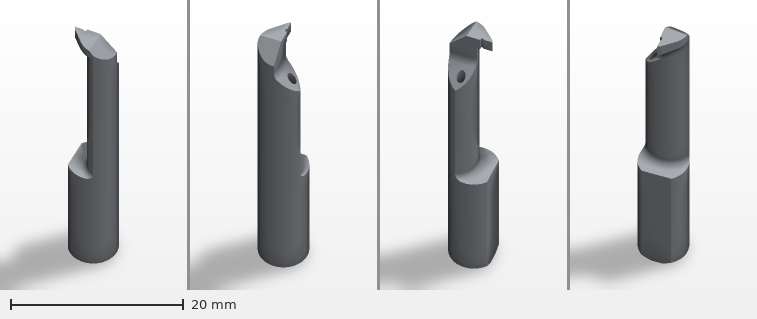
import cadquery as cq
import math

length = 37.0
shank_radius = 3.0
flat_x = -2.35
end_chamfer = 0.55
shoulder_z = 15.0

neck_left_x = -0.45
neck_radius = 3.0
neck_x = neck_left_x + neck_radius
shoulder_fillet = 0.75

head_height = 1.55
tip_x = -2.3
rake_y = 0.1
tip_rake_y = -0.07
tip_rake_end_x = -0.8
chip_groove_width = 0.37
chip_groove_y = -0.2
tip_land_x = -2.15
tip_land_y = -0.4
flank_end_x = -0.7
flank_end_y = tip_land_y - (flank_end_x - tip_land_x)
heel_x = 1.25
heel_y = -2.7
top_relief_angle = 5.0
bottom_relief_angle = 3.0
back_chamfer = 2.1
back_relief_angle = 8.0

gullet_corner_z = 32.93
gullet_runout_angle = 42.5
gullet_radius = 1.48

coolant_x = 1.0
coolant_y = 1.5
coolant_diameter = 1.05

reach = 11.1


def make_shank():
    bar = cq.Workplane("XY").circle(shank_radius).extrude(length)
    bar = bar.faces("<Z").chamfer(end_chamfer)
    flat = cq.Workplane("XY").box(reach, reach, length, centered=(False, True, False))
    return bar.intersect(flat.translate((flat_x, 0, 0)))


def make_neck_envelope():
    """Base block plus a neck cylinder that flares concavely into the shoulder."""
    base = cq.Workplane("XY").box(reach, reach, shoulder_z, centered=(True, True, False))
    flare_mid = shoulder_fillet * (1 - math.sqrt(0.5))
    flared_radius = neck_radius + shoulder_fillet
    neck = (
        cq.Workplane("XZ")
        .moveTo(0, shoulder_z)
        .lineTo(flared_radius, shoulder_z)
        .threePointArc(
            (neck_radius + flare_mid, shoulder_z + flare_mid),
            (neck_radius, shoulder_z + shoulder_fillet),
        )
        .lineTo(neck_radius, length)
        .lineTo(0, length)
        .close()
        .revolve(360, (0, 0), (0, 1))
        .translate((neck_x, 0, 0))
    )
    return base.union(neck)


def make_head():
    """Hook outline, thinned towards -Y by the relief angles."""
    bottom_z = length - head_height
    hook = (
        cq.Workplane("XY", origin=(0, 0, bottom_z))
        .moveTo(tip_x, tip_rake_y)
        .lineTo(tip_land_x, tip_land_y)
        .lineTo(flank_end_x, flank_end_y)
        .tangentArcPoint((heel_x, heel_y), relative=False)
        .lineTo(heel_x, rake_y)
        .lineTo(tip_rake_end_x, rake_y)
        .lineTo(tip_rake_end_x, chip_groove_y)
        .lineTo(tip_rake_end_x - chip_groove_width, chip_groove_y)
        .lineTo(tip_rake_end_x - chip_groove_width, tip_rake_y)
        .close()
        .extrude(head_height)
    )
    bottom_rise = reach * math.tan(math.radians(bottom_relief_angle))
    underside = (
        cq.Workplane("YZ")
        .polyline([(rake_y, bottom_z), (rake_y - reach, bottom_z), (rake_y - reach, bottom_z + bottom_rise)])
        .close()
        .extrude(reach, both=True)
    )
    return hook.cut(underside)


def make_top_relief():
    drop = reach * math.tan(math.radians(top_relief_angle))
    return (
        cq.Workplane("YZ")
        .polyline([(rake_y, length), (rake_y - reach, length), (rake_y - reach, length - drop)])
        .close()
        .extrude(reach, both=True)
    )


def make_gullet():
    runout_z = gullet_corner_z - (reach - rake_y) / math.tan(math.radians(gullet_runout_angle))
    return (
        cq.Workplane("YZ")
        .polyline([(rake_y, length), (rake_y, gullet_corner_z), (reach, runout_z), (reach, length)])
        .close()
        .extrude(reach, both=True)
        .edges(cq.selectors.NearestToPointSelector((0, rake_y, gullet_corner_z)))
        .fillet(gullet_radius)
    )


def make_back_chamfer():
    """45 degree cut on the +X side, tilted down towards -Y for relief."""
    ridge_x = shank_radius - back_chamfer
    return (
        cq.Workplane("XZ")
        .polyline([
            (ridge_x - reach, length + reach),
            (ridge_x + reach, length - reach),
            (ridge_x + reach, length + reach),
        ])
        .close()
        .extrude(reach, both=True)
        .rotate((0, rake_y, length), (1, rake_y, length), back_relief_angle)
    )


coolant_hole = (
    cq.Workplane("XY")
    .center(coolant_x, coolant_y)
    .circle(coolant_diameter / 2)
    .extrude(length)
)

result = (
    make_shank()
    .intersect(make_neck_envelope())
    .cut(make_gullet())
    .union(make_head())
    .cut(make_top_relief())
    .cut(make_back_chamfer())
    .cut(coolant_hole)
)